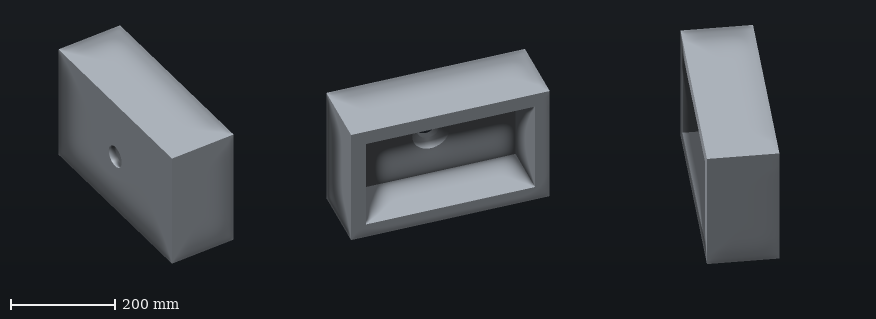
import cadquery as cq

length = 405.0
depth = 140.0
height = 255.0

wall = 30.0
hole_diameter = 46.0
inner_chamfer = wall / 2

block = cq.Workplane("XY").box(length, depth, height)

housing = block.faces(">Y").shell(-wall)

front_y = -depth / 2
inner_y = front_y + wall
flare_start_y = inner_y - inner_chamfer
hole_radius = hole_diameter / 2
flare_radius = hole_radius + inner_chamfer
hole = (
    cq.Workplane("XY")
    .moveTo(0, front_y)
    .lineTo(hole_radius, front_y)
    .lineTo(hole_radius, flare_start_y)
    .lineTo(flare_radius, inner_y)
    .lineTo(0, inner_y)
    .close()
    .revolve(360, (0, 0, 0), (0, 1, 0))
)

result = housing.cut(hole)